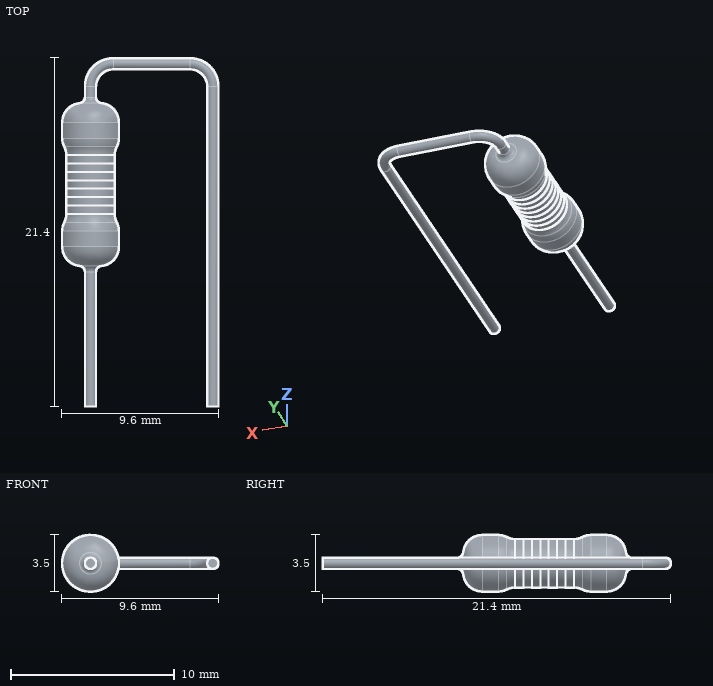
import cadquery as cq
import math


wire_d = 0.7
lead_pitch = 7.5
bend_radius = 2 * wire_d
overall_length = 21.35
crossbar_y = overall_length - wire_d / 2

body_d = 3.5
waist_d = 2.98
band_d = 3.0
body_mid_y = 13.6
dome_radius = 1.2
neck_radius = 0.35
band_width = 0.515
band_count = 4
shoulder_length = 2 * band_width
cap_length = 0.97

waist_half = (2 * band_count - 1) * band_width / 2
cap_start = waist_half + shoulder_length
cap_end = cap_start + cap_length

dome_center_r = body_d / 2 - dome_radius
neck_center_r = wire_d / 2 + neck_radius
center_gap = dome_radius + neck_radius
neck_offset_r = neck_center_r - dome_center_r
neck_end = cap_end + math.sqrt(center_gap**2 - neck_offset_r**2)
neck_angle = math.acos(neck_offset_r / center_gap)


def polar(center_r, center_y, radius, angle):
    """Point on a circle in the (radius, Y) profile plane."""
    return (center_r + radius * math.cos(angle), center_y + radius * math.sin(angle))


def make_body_end():
    """Upper end of the body: shoulder, cap, dome and neck."""
    cap_r = body_d / 2
    waist_r = waist_d / 2
    half_step = (cap_r - waist_r) / 2
    half_shoulder = shoulder_length / 2
    shoulder_radius = (half_shoulder**2 + half_step**2) / (2 * half_step)
    shoulder_angle = math.asin(half_shoulder / shoulder_radius)
    concave_mid = polar(waist_r + shoulder_radius, waist_half, shoulder_radius,
                        math.pi - shoulder_angle / 2)
    convex_mid = polar(cap_r - shoulder_radius, cap_start, shoulder_radius, -shoulder_angle / 2)

    dome_mid = polar(dome_center_r, cap_end, dome_radius, neck_angle / 2)
    dome_tip = polar(dome_center_r, cap_end, dome_radius, neck_angle)
    neck_mid = polar(neck_center_r, neck_end, neck_radius, math.pi + neck_angle / 2)
    profile = (
        cq.Workplane("XY")
        .moveTo(0, waist_half)
        .lineTo(waist_r, waist_half)
        .threePointArc(concave_mid, (waist_r + half_step, waist_half + half_shoulder))
        .threePointArc(convex_mid, (cap_r, cap_start))
        .lineTo(cap_r, cap_end)
        .threePointArc(dome_mid, dome_tip)
        .threePointArc(neck_mid, (wire_d / 2, neck_end))
        .lineTo(0, neck_end)
        .close()
    )
    return profile.revolve(360, (0, 0, 0), (0, 1, 0))


def cylinder_y(diameter, start_y, length):
    """Cylinder on the body axis, running toward +Y."""
    return cq.Workplane("XZ", origin=(0, start_y, 0)).circle(diameter / 2).extrude(-length)


def make_body():
    upper_end = make_body_end()
    waist = cylinder_y(waist_d, -waist_half, 2 * waist_half)
    body = waist.union(upper_end).union(upper_end.mirror("XZ"))
    for index in range(band_count):
        body = body.union(cylinder_y(band_d, 2 * index * band_width - waist_half, band_width))
    return body.translate((0, body_mid_y, 0))


def make_bent_lead():
    """Wire from the upper neck, across in X and back down to Y = 0."""
    start_y = body_mid_y + neck_end
    bend_y = crossbar_y - bend_radius
    path = (
        cq.Workplane("XY")
        .moveTo(0, start_y)
        .lineTo(0, bend_y)
        .radiusArc((bend_radius, crossbar_y), bend_radius)
        .lineTo(lead_pitch - bend_radius, crossbar_y)
        .radiusArc((lead_pitch, bend_y), bend_radius)
        .lineTo(lead_pitch, 0)
    )
    return cq.Workplane("XZ", origin=(0, start_y, 0)).circle(wire_d / 2).sweep(path)


straight_lead = cylinder_y(wire_d, 0, body_mid_y - neck_end)
result = make_body().union(straight_lead).union(make_bent_lead())